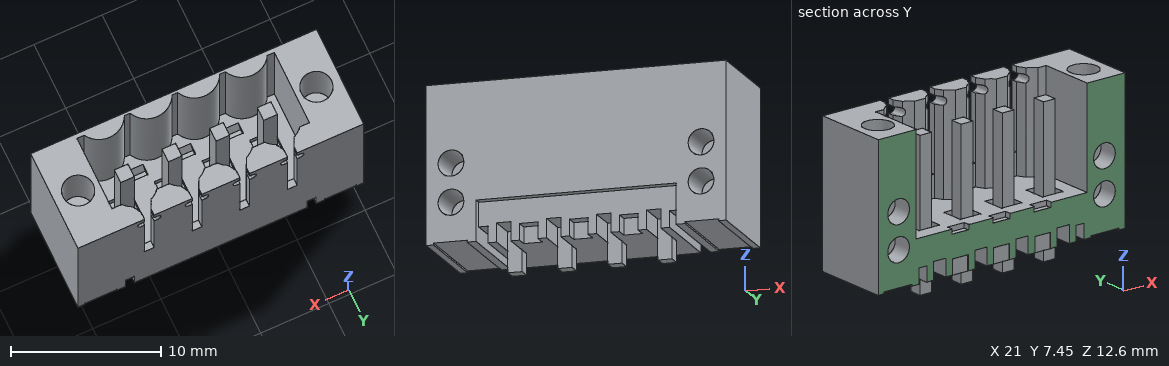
import cadquery as cq


pin_count = 4
pitch = 3.5
pin_size = 1.0
pin_y = -0.23
pin_below = 1.5
pin_top_setback = 1.2
pin_xs = [(i - (pin_count - 1) / 2) * pitch for i in range(pin_count)]
mid_xs = [x + pitch / 2 for x in pin_xs[:-1]]

length = 21.0
width = 7.45
height = 11.05
front_y = -width / 2
back_y = width / 2

floor_z = 3.3
cavity_depth = height - floor_z
cavity_length = 14.5
cavity_front_y = -3.4
cavity_back_y = 2.12
valley_y = -3.53
bump_radius = 1.7
bump_crest_y = -2.55
scallop_radius = 1.64
scallop_y = 1.1
key_base_y = 2.56
key_end_y = 3.2
key_base_width = 1.36
key_end_width = 0.7

gap_floor_z = 5.0
channel_width = 1.7
channel_height = 0.62
channel_z = height - 0.78

pin_recess_size = 1.75
pin_recess_depth = 0.5
wedge_width = 1.4
wedge_back_y = -1.75
wedge_ramp_y = -2.18
wedge_front_y = -2.55
wedge_depth = 0.4

end_hole_x = 8.75
screw_hole_diameter = 2.2
screw_hole_depth = 4.0
front_hole_diameter = 1.8
front_hole_depth = 3.0
front_hole_zs = (2.85, 5.55)

base_length = 14.0
base_recess_height = 2.85
base_recess_depth = 0.6
base_y = front_y + base_recess_depth
tooth_span = 12.7
end_gap = (base_length - tooth_span) / 2
gap_height = 1.15
mid_slot_width = 1.3
mid_slot_depth = 0.93
pin_slot_height = 1.33
foot_groove_width = 2.35
foot_groove_x = 8.8
foot_groove_height = 0.13


def box(x, size_x, y_min, y_max, z_min, z_max):
    """Box centred on x, between the given Y and Z limits."""
    return (
        cq.Workplane("XY", origin=(x, (y_min + y_max) / 2, z_min))
        .rect(size_x, y_max - y_min)
        .extrude(z_max - z_min)
    )


def make_cavity():
    """Plug cavity: a box with front bumps, back hollows and tapered keyways."""
    cavity = box(0, cavity_length, cavity_front_y, cavity_back_y, floor_z, height)
    valleys = box(0, pin_xs[-1] - pin_xs[0], valley_y, cavity_front_y, floor_z, height)
    cavity = cavity.union(valleys)
    for x in pin_xs:
        bump = (
            cq.Workplane("XY", origin=(x, bump_crest_y - bump_radius, floor_z))
            .circle(bump_radius)
            .extrude(cavity_depth)
        )
        scallop = (
            cq.Workplane("XY", origin=(x, scallop_y, floor_z))
            .circle(scallop_radius)
            .extrude(cavity_depth)
        )
        keyway = (
            cq.Workplane("XY", origin=(x, 0, floor_z))
            .moveTo(-key_base_width / 2, scallop_y)
            .lineTo(key_base_width / 2, scallop_y)
            .lineTo(key_base_width / 2, key_base_y)
            .lineTo(key_end_width / 2, key_end_y)
            .lineTo(-key_end_width / 2, key_end_y)
            .lineTo(-key_base_width / 2, key_base_y)
            .close()
            .extrude(cavity_depth)
        )
        cavity = cavity.cut(bump).union(scallop).union(keyway)
    return cavity


def make_latch_slot(x):
    """Narrow gap down the back wall, crossed near the top by a round-ended channel."""
    gap = box(x, key_end_width, key_end_y, back_y, gap_floor_z, height)
    channel = (
        cq.Workplane("XZ", origin=(x, back_y, channel_z))
        .slot2D(channel_width, channel_height)
        .extrude(back_y - cavity_back_y)
    )
    return gap.union(channel)


def make_wedge_pocket(x):
    """Floor pocket whose front half ramps up to the cavity floor."""
    return (
        cq.Workplane("YZ", origin=(x - wedge_width / 2, 0, 0))
        .moveTo(wedge_back_y, floor_z)
        .lineTo(wedge_back_y, floor_z - wedge_depth)
        .lineTo(wedge_ramp_y, floor_z - wedge_depth)
        .lineTo(wedge_front_y, floor_z)
        .close()
        .extrude(wedge_width)
    )


def cut_end_holes(body):
    """Blind hole from the top and two blind holes from the front at each end."""
    for x in (-end_hole_x, end_hole_x):
        screw_hole = (
            cq.Workplane("XY", origin=(x, 0, height))
            .circle(screw_hole_diameter / 2)
            .extrude(-screw_hole_depth)
        )
        body = body.cut(screw_hole)
        for z in front_hole_zs:
            front_hole = (
                cq.Workplane("XZ", origin=(x, front_y, z))
                .circle(front_hole_diameter / 2)
                .extrude(-front_hole_depth)
            )
            body = body.cut(front_hole)
    return body


def cut_underside(body):
    """Front recess, end gaps, slots between the teeth and grooves under the feet."""
    body = body.cut(box(0, base_length, front_y, base_y, 0, base_recess_height))
    for side in (-1, 1):
        gap_x = side * (base_length - end_gap) / 2
        body = body.cut(box(gap_x, end_gap, front_y, back_y, 0, gap_height))
        groove_x = side * foot_groove_x
        body = body.cut(box(groove_x, foot_groove_width, front_y, back_y, 0, foot_groove_height))
    for x in mid_xs:
        body = body.cut(box(x, mid_slot_width, base_y, base_y + mid_slot_depth, 0, gap_height))
    for x in pin_xs:
        body = body.cut(box(x, pin_size, base_y, pin_y, 0, pin_slot_height))
    return body


def make_pin(x):
    """Straight square pin."""
    pin_top_z = height - pin_top_setback
    return box(x, pin_size, pin_y - pin_size / 2, pin_y + pin_size / 2, -pin_below, pin_top_z)


def make_housing():
    body = box(0, length, front_y, back_y, 0, height).cut(make_cavity())
    recess_half = pin_recess_size / 2
    recess_z = floor_z - pin_recess_depth
    for x in pin_xs:
        body = body.cut(make_latch_slot(x))
        recess = box(x, pin_recess_size, pin_y - recess_half, pin_y + recess_half, recess_z, floor_z)
        body = body.cut(recess)
    for x in mid_xs:
        body = body.cut(make_wedge_pocket(x))
    body = cut_underside(cut_end_holes(body))
    for x in pin_xs:
        body = body.cut(make_pin(x))
    return body


housing = make_housing()
pins = [make_pin(x) for x in pin_xs]

result = cq.Compound.makeCompound([housing.val(), *[pin.val() for pin in pins]])